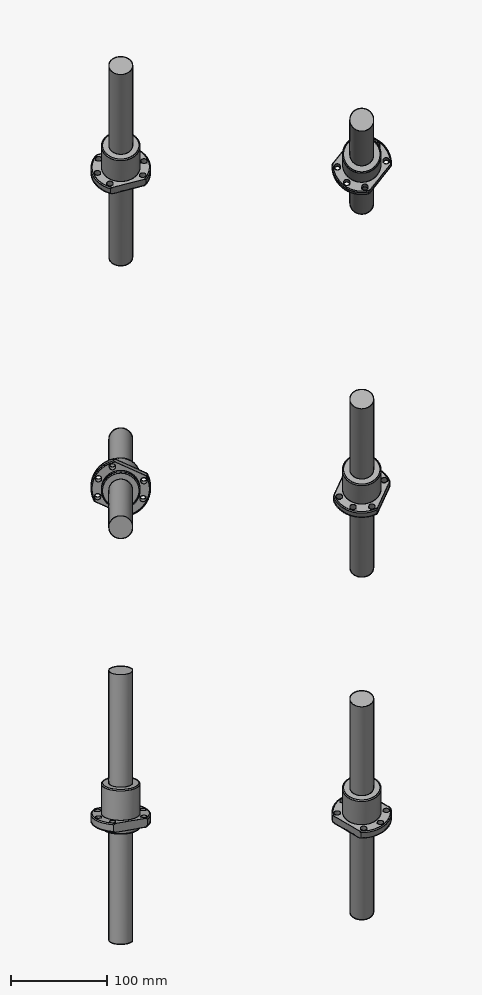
import cadquery as cq

shaft_length = 300.0
shaft_diameter = 25.0

sleeve_length = 49.8
sleeve_diameter = 40.2
sleeve_chamfer = 1.2
sleeve_bottom = -sleeve_length / 2

flange_diameter = 61.8
flange_width = 48.0
flange_thickness = 10.0
flange_chamfer = 1.2
flange_bottom = sleeve_bottom + 6.0

hole_diameter = 6.5
hole_circle_radius = 25.5
hole_angles = [side + step for side in (90, 270) for step in (-45, 0, 45)]


def cylinder(diameter, length, bottom):
    """Solid cylinder on the Z axis, rising from the given height."""
    return cq.Workplane("XY").workplane(offset=bottom).circle(diameter / 2).extrude(length)


def make_shaft():
    return cylinder(shaft_diameter, shaft_length, -shaft_length / 2)


def make_flange():
    """Chamfered disc with two flats and a ring of through holes."""
    disc = cylinder(flange_diameter, flange_thickness, flange_bottom)
    disc = disc.faces("|Z").edges().chamfer(flange_chamfer)

    flats = (
        cq.Workplane("XY")
        .workplane(offset=flange_bottom)
        .rect(flange_width, flange_diameter)
        .extrude(flange_thickness)
    )
    flange = disc.intersect(flats)

    for angle in hole_angles:
        hole = cylinder(hole_diameter, flange_thickness, flange_bottom)
        hole = hole.translate((hole_circle_radius, 0, 0)).rotate((0, 0, 0), (0, 0, 1), angle)
        flange = flange.cut(hole)
    return flange


def make_nut():
    """Flanged sleeve with a bore that fits the shaft."""
    sleeve = cylinder(sleeve_diameter, sleeve_length, sleeve_bottom)
    sleeve = sleeve.faces("|Z").edges().chamfer(sleeve_chamfer)
    bore = cylinder(shaft_diameter, sleeve_length, sleeve_bottom)
    return sleeve.union(make_flange()).cut(bore)


shaft = make_shaft()
nut = make_nut()

result = cq.Compound.makeCompound([shaft.val(), *nut.solids().vals()])